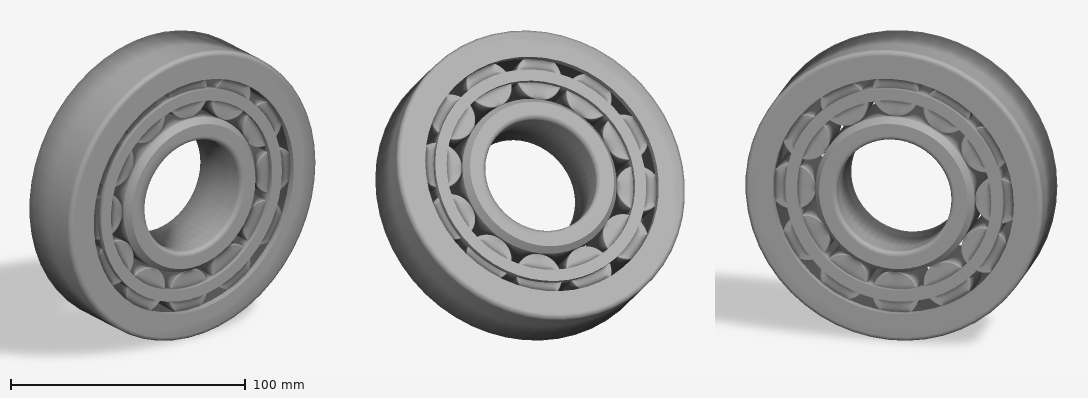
import cadquery as cq


bearing_width = 31.0
outer_diameter = 130.0
bore_diameter = 50.0
edge_radius = 2.0

inner_race_diameter = 69.6
inner_face_diameter = 64.9
inner_taper_length = 3.1

outer_race_diameter = 110.4
flange_bore_diameter = 105.3
flange_width = 3.1

cage_inner_diameter = 84.9
cage_outer_diameter = 95.1
cage_recess = 1.55

roller_count = 12
roller_recess = 3.7
roller_edge_radius = 0.4
race_overlap = 0.02

half_width = bearing_width / 2
pitch_radius = (inner_race_diameter + outer_race_diameter) / 4
roller_diameter = (outer_race_diameter - inner_race_diameter) / 2 + 2 * race_overlap
channel_width = bearing_width - 2 * flange_width
roller_length = bearing_width - 2 * roller_recess
cage_width = bearing_width - 2 * cage_recess


def cylinder(diameter, width):
    """Cylinder along X, centred on the origin."""
    start = cq.Workplane("YZ").workplane(offset=-width / 2)
    return start.circle(diameter / 2).extrude(width)


def make_outer_ring():
    """Ring with rounded outer edges and a roller channel between two flanges."""
    body = cylinder(outer_diameter, bearing_width).edges().fillet(edge_radius)
    bore = cylinder(flange_bore_diameter, bearing_width)
    channel = cylinder(outer_race_diameter, channel_width)
    return body.cut(bore).cut(channel)


def make_inner_ring():
    """Ring with a cylindrical race, tapered at both ends, and rounded bore edges."""
    bore_radius = bore_diameter / 2
    face_radius = inner_face_diameter / 2
    race_radius = inner_race_diameter / 2
    half_race = half_width - inner_taper_length
    half_bore = half_width - edge_radius
    profile = (
        cq.Workplane("XY")
        .moveTo(-half_width, face_radius)
        .lineTo(-half_race, race_radius)
        .lineTo(half_race, race_radius)
        .lineTo(half_width, face_radius)
        .lineTo(half_width, bore_radius + edge_radius)
        .radiusArc((half_bore, bore_radius), edge_radius)
        .lineTo(-half_bore, bore_radius)
        .radiusArc((-half_width, bore_radius + edge_radius), edge_radius)
        .close()
    )
    return profile.revolve(360, (0, 0, 0), (1, 0, 0))


def make_cage():
    """Plain ring that runs through the rollers."""
    return cylinder(cage_outer_diameter, cage_width).cut(cylinder(cage_inner_diameter, cage_width))


def make_roller():
    """Roller at the top of the pitch circle, slightly shorter than the channel, with rounded ends."""
    roller = cylinder(roller_diameter, roller_length).edges().fillet(roller_edge_radius)
    return roller.translate((0, 0, pitch_radius))


result = make_outer_ring().union(make_cage())
roller = make_roller()
for index in range(roller_count):
    angle = index * 360 / roller_count
    result = result.union(roller.rotate((0, 0, 0), (1, 0, 0), angle))
result = result.union(make_inner_ring())